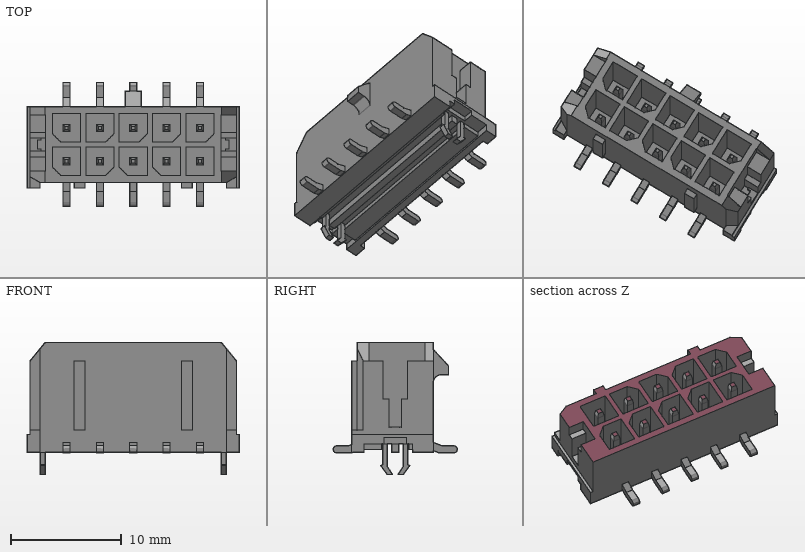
import cadquery as cq


length = 19.15
height = 9.9
depth = 6.85
body_x = 18.63
front_x = 16.8
front_chamfer_y = 0.54
front_reach = 3.93
back_y = depth / 2
front_y = -depth / 2
overlap = 0.2

shelf_z = 8.23
slope_top_x = 15.9
core_x = 15.78
shelf_back_y = 2.68
shelf_front_y = -2.37

slot_wide = 2.2
slot_narrow = 1.15
slot_step_z = 4.8
slot_floor_z = 2.26
pocket_depth = 0.38
pocket_outer_x = 8.64
pocket_step_x = 8.33
pocket_neck_y = 0.8

foot_z = 1.63
front_foot_z = 2.01
foot_inner_x = front_x / 2

recess_z = 0.77
recess_back_y = 1.57
recess_front_y = -2.8
underside_z = 0.25
tunnel_y = 2.41
spine_y = 0.63
notch_y = 2.05
notch_z = 1.32
notch_inner_x = pocket_outer_x

columns = 5
pitch = 3.0
cavity_size = 2.55
cavity_chamfer = 0.75
cavity_floor_z = 1.63
pin_size = 0.65
pin_top_z = 6.32
pin_flat = 0.29
pin_taper_z = 0.95
column_x = [(i - (columns - 1) / 2) * pitch for i in range(columns)]
back_row_y = pitch / 2
front_row_y = -pitch / 2
back_row_keys = [-1, 1, 1, 1, 1]
front_row_keys = [-1, 1, -1, -1, 0]

tail_span = 11.2
tail_tip_y = tail_span / 2
tail_thickness = 0.65
tail_bottom_z = -0.05
tail_bend_y = 4.23
tail_bend_shift = 0.29
tail_rise = 0.3

rib_width = 1.0
rib_x = 4.83

latch_width = 1.45
latch_reach = 1.38
latch_top_z = 9.29
latch_lip_top_z = 7.8
latch_lip_bottom_z = 6.99
latch_fillet = 0.75

peg_outer_x = foot_inner_x
peg_thickness = 0.48
peg_bottom_z = -2.01
peg_outer_y = 1.13
peg_inner_y = 0.7
peg_bend_z = -1.28
peg_tip_outer_y = 0.73
peg_tip_inner_y = 0.23
barb_y = 1.32
barb_top_z = -1.11
barb_tip_z = -1.19


def box(x0, x1, y0, y1, z0, z1):
    """Box between two opposite corners."""
    return cq.Workplane("XY").box(x1 - x0, y1 - y0, z1 - z0, centered=False).translate((x0, y0, z0))


def yz_prism(points, x0, x1):
    """Prism of a closed (y, z) outline running from x0 to x1."""
    return cq.Workplane("YZ").polyline(points).close().extrude(x1 - x0).translate((x0, 0, 0))


def both_ends(solid):
    """The feature at the -X end together with its mirror image."""
    return solid.union(solid.mirror("YZ"))


def housing_block():
    """Housing outline with chamfered front corners, sloped ends and end shelves."""
    chamfer_y = front_y + front_chamfer_y
    half = [(front_x / 2, front_y), (body_x / 2, chamfer_y), (body_x / 2, back_y)]
    outline = half + [(-x, y) for x, y in reversed(half)]
    block = cq.Workplane("XY").polyline(outline).close().extrude(height)
    profile = [
        (-body_x / 2, 0), (body_x / 2, 0), (body_x / 2, shelf_z), (slope_top_x / 2, height),
        (-slope_top_x / 2, height), (-body_x / 2, shelf_z),
    ]
    sloped = cq.Workplane("XZ").polyline(profile).close().extrude(depth / 2, both=True)
    shelf = box(-length / 2, -core_x / 2, shelf_front_y, shelf_back_y, shelf_z, height)
    return block.intersect(sloped).cut(both_ends(shelf))


def end_foot():
    """Foot at the -X end: a thin outer plate plus a toe in front of the housing."""
    plate = box(-length / 2, -foot_inner_x, -front_reach, back_y, 0, foot_z)
    toe = box(-body_x / 2, -foot_inner_x, -front_reach, front_y + front_chamfer_y, 0, front_foot_z)
    return plate.union(toe)


def end_slot():
    """Stepped slot in the -X cheek with a T-shaped pocket in its floor."""
    x0 = -length / 2
    x1 = -core_x / 2
    wide = box(x0, x1, -slot_wide / 2, slot_wide / 2, slot_step_z, height)
    narrow = box(x0, x1, -slot_narrow / 2, slot_narrow / 2, slot_floor_z, height)
    pocket_z = slot_floor_z - pocket_depth
    neck = box(-pocket_outer_x, x1, -pocket_neck_y / 2, pocket_neck_y / 2, pocket_z, slot_floor_z)
    bar = box(-pocket_step_x, x1, -slot_narrow / 2, slot_narrow / 2, pocket_z, slot_floor_z)
    return wide.union(narrow).union(neck).union(bar)


def underside():
    """Hollows below the housing, leaving a low spine along the middle."""
    x0 = -length / 2
    floor = box(x0, -x0, recess_front_y, recess_back_y, 0, underside_z)
    tunnel = box(x0, -x0, -tunnel_y / 2, tunnel_y / 2, 0, recess_z)
    foot_recess = box(x0, -foot_inner_x, recess_front_y, recess_back_y, 0, recess_z)
    foot_notch = box(x0, -notch_inner_x, -notch_y / 2, notch_y / 2, 0, notch_z)
    spine = box(-foot_inner_x, foot_inner_x, -spine_y / 2, spine_y / 2, 0, recess_z)
    return floor.union(tunnel).union(both_ends(foot_recess.union(foot_notch))).cut(spine)


def cavity(x, y, key):
    """Square contact cavity; key selects which front corner is cut off."""
    hole = cq.Workplane("XY").rect(cavity_size, cavity_size).extrude(height - cavity_floor_z)
    if key:
        corner = ">X and <Y" if key > 0 else "<X and <Y"
        hole = hole.edges("|Z").edges(corner).chamfer(cavity_chamfer)
    return hole.translate((x, y, cavity_floor_z))


def pin(x, y):
    """Square pin standing on the cavity floor, with a tapered tip."""
    shaft_top = pin_top_z - pin_taper_z
    base_z = cavity_floor_z - overlap
    shaft = cq.Workplane("XY").rect(pin_size, pin_size).extrude(shaft_top - base_z)
    tip = (
        cq.Workplane("XY").rect(pin_size, pin_size)
        .workplane(offset=pin_taper_z).rect(pin_flat, pin_flat).loft()
    )
    return shaft.translate((x, y, base_z)).union(tip.translate((x, y, shaft_top)))


def back_tail():
    """Solder tail leaving the back face: sloped, then flat with a round end."""
    radius = tail_thickness / 2
    slope = tail_rise / (tail_bend_y - back_y)
    root_y = back_y - overlap
    root_z = tail_bottom_z + slope * (tail_bend_y - root_y)
    lower_bend_y = tail_bend_y - tail_bend_shift
    lower_root_z = root_z - slope * tail_bend_shift
    return (
        cq.Workplane("YZ")
        .moveTo(root_y, root_z + tail_thickness)
        .lineTo(tail_bend_y, tail_bottom_z + tail_thickness)
        .lineTo(tail_tip_y - radius, tail_bottom_z + tail_thickness)
        .threePointArc((tail_tip_y, tail_bottom_z + radius), (tail_tip_y - radius, tail_bottom_z))
        .lineTo(lower_bend_y, tail_bottom_z)
        .lineTo(root_y, lower_root_z)
        .close()
        .extrude(pin_size / 2, both=True)
    )


def latch():
    """Ramp on the back face with an overhanging lip rounded into the wall."""
    lip_y = back_y + latch_reach
    root_y = back_y - overlap
    return (
        cq.Workplane("YZ")
        .moveTo(root_y, latch_top_z)
        .lineTo(back_y, latch_top_z)
        .lineTo(lip_y, latch_lip_top_z)
        .lineTo(lip_y, latch_lip_bottom_z)
        .lineTo(back_y + latch_fillet, latch_lip_bottom_z)
        .radiusArc((back_y, latch_lip_bottom_z - latch_fillet), -latch_fillet)
        .lineTo(root_y, latch_lip_bottom_z - latch_fillet)
        .close()
        .extrude(latch_width / 2, both=True)
    )


def board_lock():
    """Pair of barbed prongs under the -X end."""
    root_z = notch_z + overlap
    prong = [
        (peg_outer_y, root_z),
        (peg_outer_y, barb_top_z),
        (barb_y, barb_tip_z),
        (peg_tip_outer_y, peg_bottom_z),
        (peg_tip_inner_y, peg_bottom_z),
        (peg_inner_y, peg_bend_z),
        (peg_inner_y, root_z),
    ]
    back_prong = yz_prism(prong, -peg_outer_x, -peg_outer_x + peg_thickness)
    return back_prong.union(back_prong.mirror("XZ"))


result = housing_block().union(both_ends(end_foot()))
result = result.cut(both_ends(end_slot())).cut(underside())

for y, keys in ((back_row_y, back_row_keys), (front_row_y, front_row_keys)):
    for x, key in zip(column_x, keys):
        result = result.cut(cavity(x, y, key)).union(pin(x, y))

tail = back_tail()
for x in column_x:
    result = result.union(tail.translate((x, 0, 0)))
    result = result.union(tail.mirror("XZ").translate((x, 0, 0)))

for x in (-rib_x, rib_x):
    rib = box(x - rib_width / 2, x + rib_width / 2, -front_reach, front_y + overlap, front_foot_z, shelf_z)
    result = result.union(rib)

result = result.union(latch()).union(both_ends(board_lock()))